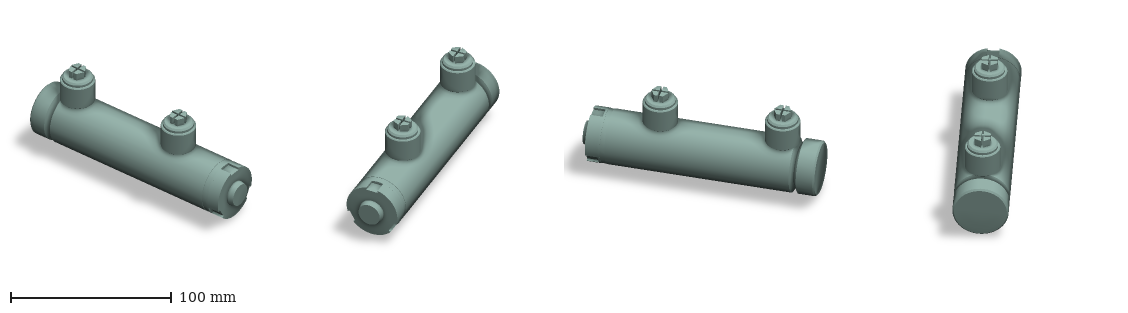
import cadquery as cq
import math


overall_length = 151.0
tube_radius = 17.5

cap_edge_chamfer = 1.0
weld_groove_start = 11.6
weld_groove_root = 14.0
weld_groove_end = 16.2
weld_groove_depth = 4.0
groove_root_radius = tube_radius - weld_groove_depth

barrel_end = 138.9
ring_groove_start = 134.4
ring_groove_end = 137.5
ring_groove_depth = 0.23

gland_end = 146.9
notch_count = 3
notch_width = 7.7
notch_floor_radius = 15.5
first_notch_angle = 90.0

rod_radius = 8.2
rod_taper_angle = 15.0
rod_taper_start = 147.8

port_positions = (24.5, 103.0)
port_radius = 11.0
port_height = 15.7
port_top_chamfer = 0.6
port_bottom_chamfer = 0.5
port_top = tube_radius + port_height

plug_flange_radius = 9.7
plug_flange_height = 2.7
plug_flange_chamfer = 1.0
hex_across_flats = 10.0
hex_height = 5.0
cross_slot_width = 1.4
hex_base = port_top + plug_flange_height


def turned(half_profile):
    """Solid turned about the X axis from a closed outline of (x, radius) points."""
    return (
        cq.Workplane("XZ")
        .polyline(half_profile)
        .close()
        .revolve(360, (0, 0, 0), (1, 0, 0))
    )


def make_end_cap():
    return turned([
        (0, 0),
        (0, tube_radius - cap_edge_chamfer),
        (cap_edge_chamfer, tube_radius),
        (weld_groove_start, tube_radius),
        (weld_groove_root, groove_root_radius),
        (weld_groove_root, 0),
    ])


def make_barrel():
    ring_groove_radius = tube_radius - ring_groove_depth
    return turned([
        (weld_groove_root, 0),
        (weld_groove_root, groove_root_radius),
        (weld_groove_end, tube_radius),
        (ring_groove_start, tube_radius),
        (ring_groove_start, ring_groove_radius),
        (ring_groove_end, ring_groove_radius),
        (ring_groove_end, tube_radius),
        (barrel_end, tube_radius),
        (barrel_end, 0),
    ])


def make_gland():
    """Flange around the rod, with flat-floored notches spaced evenly on its rim."""
    gland_length = gland_end - barrel_end
    gland = (
        cq.Workplane("YZ", origin=(barrel_end, 0, 0))
        .circle(tube_radius)
        .circle(rod_radius)
        .extrude(gland_length)
    )
    notch = cq.Workplane("XY").box(
        gland_length, tube_radius, notch_width, centered=(False, False, True)
    ).translate((barrel_end, notch_floor_radius, 0))
    for index in range(notch_count):
        angle = first_notch_angle + index * 360 / notch_count
        gland = gland.cut(notch.rotate((0, 0, 0), (1, 0, 0), angle))
    return gland


def make_rod():
    """Rod reaching through the gland to the barrel face, with a tapered outer end."""
    taper_length = overall_length - rod_taper_start
    tip_radius = rod_radius - taper_length * math.tan(math.radians(rod_taper_angle))
    return turned([
        (barrel_end, 0),
        (barrel_end, rod_radius),
        (rod_taper_start, rod_radius),
        (overall_length, tip_radius),
        (overall_length, 0),
    ])


def make_port(x_position):
    """Round boss standing on the top of the barrel."""
    return (
        cq.Workplane("XY", origin=(x_position, 0, tube_radius))
        .circle(port_radius)
        .extrude(port_height)
        .faces(">Z").chamfer(port_top_chamfer)
        .faces("<Z").chamfer(port_bottom_chamfer)
    )


def make_plug(x_position):
    """Flange on top of a port, carrying a hexagon split by a cross slot."""
    flange = (
        cq.Workplane("XY", origin=(x_position, 0, port_top))
        .circle(plug_flange_radius)
        .extrude(plug_flange_height)
        .faces(">Z").chamfer(plug_flange_chamfer)
    )
    hex_across_corners = hex_across_flats / math.cos(math.radians(30))
    hex_plane = cq.Workplane("XY", origin=(x_position, 0, hex_base))
    hexagon = hex_plane.polygon(6, hex_across_corners).extrude(hex_height)
    slot_along_x = hex_plane.rect(hex_across_corners, cross_slot_width).extrude(hex_height)
    slot_along_y = hex_plane.rect(cross_slot_width, hex_across_corners).extrude(hex_height)
    return flange.union(hexagon.cut(slot_along_x).cut(slot_along_y))


end_cap = make_end_cap()
barrel = make_barrel()
gland = make_gland()
rod = make_rod()
ports = [make_port(x_position) for x_position in port_positions]
plugs = [make_plug(x_position) for x_position in port_positions]

result = cq.Compound.makeCompound([
    end_cap.val(),
    barrel.val(),
    gland.val(),
    rod.val(),
    *[port.val() for port in ports],
    *[plug.val() for plug in plugs],
])